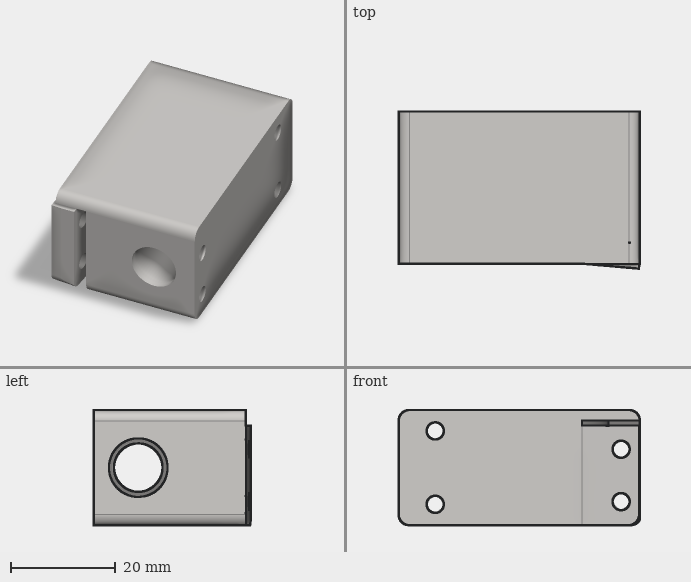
import cadquery as cq

length = 46.0
depth = 29.03
height = 22.0
corner_radius = 2.05

bore_diameter = 9.2
counterbore_diameter = 11.2
counterbore_depth = 4.8
bore_to_back = 8.5

screw_diameter = 3.2
block_screw_x = 7.0
block_screw_spacing = 14.0
flap_screw_x = 42.4
flap_screw_spacing = 10.0

hinge_x = 34.95
flap_angle = 5.0
flap_thickness = 4.85
flap_setback = 0.15
flap_height = 19.0
top_gap = 0.95

relief_radius = 5.4
relief_x = 34.65
hinge_wall = 1.0
relief_y = hinge_wall + relief_radius
relief_height = flap_height + top_gap


def rounded_bar(bar_depth):
    """Full-size rounded outline running back from the front face."""
    bar = cq.Workplane("XY").box(length, bar_depth, height, centered=False)
    return bar.edges("|Y").fillet(corner_radius)


def screw_holes(x, middle_z, spacing):
    """Pair of cutters, one above the other, running through the whole depth."""
    return (
        cq.Workplane("XZ", origin=(x, depth, middle_z))
        .pushPoints([(0, -spacing / 2), (0, spacing / 2)])
        .circle(screw_diameter / 2)
        .extrude(2 * depth)
    )


def x_cylinder(diameter, cylinder_length):
    """Cylinder on the bore axis, starting at the left face."""
    return (
        cq.Workplane("YZ", origin=(0, depth - bore_to_back, height / 2))
        .circle(diameter / 2)
        .extrude(cylinder_length)
    )


def make_block():
    """Block with its stepped bore, screw holes and the recess behind the flap."""
    recess = cq.Workplane("XY").box(length - hinge_x, relief_y, relief_height, centered=False)
    return (
        rounded_bar(depth)
        .cut(x_cylinder(bore_diameter, length))
        .cut(x_cylinder(counterbore_diameter, counterbore_depth))
        .cut(recess.translate((hinge_x, 0, 0)))
        .cut(screw_holes(block_screw_x, height / 2, block_screw_spacing))
        .cut(screw_holes(flap_screw_x, flap_height / 2, flap_screw_spacing))
    )


def make_flap():
    """Flap swung out from the front face, its inner end corner trimmed flush with the block."""
    window = cq.Workplane("XY").box(length - hinge_x, flap_thickness, flap_height, centered=False)
    flap = rounded_bar(flap_thickness).intersect(window.translate((hinge_x, 0, 0)))
    flap = flap.translate((-flap_setback, 0, 0))
    flap = flap.rotate((hinge_x, 0, 0), (hinge_x, 0, 1), -flap_angle)
    end_limit = cq.Workplane("XY").box(length, 2 * depth, height, centered=(False, True, False))
    return flap.intersect(end_limit).cut(screw_holes(flap_screw_x, flap_height / 2, flap_screw_spacing))


relief = cq.Workplane("XY").center(relief_x, relief_y).circle(relief_radius).extrude(relief_height)
result = make_block().union(make_flap()).cut(relief)